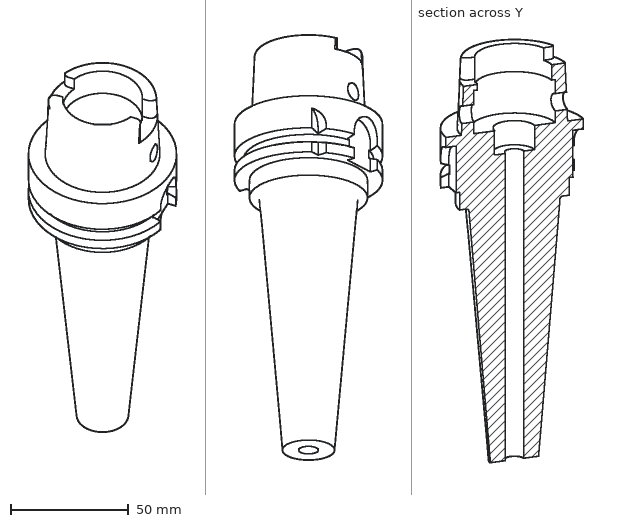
import cadquery as cq

total_height = 182.0
flange_top_z = total_height - 32.0
flange_bottom_z = total_height - 57.9
collar_bottom_z = total_height - 65.9

nose_radius = 11.1
neck_radius = 21.0
neck_fillet = 1.0
collar_radius = 25.1
flange_radius = 31.5
shank_base_radius = 24.4
shank_top_radius = 23.0
rim_fillet = 1.3

groove_radius = 27.7
groove_bottom_z = total_height - 51.7
groove_top_z = total_height - 48.2
groove_flare = 1.5

mouth_radius = 17.0
mouth_depth = 12.7
undercut_radius = 18.5
cavity_depth = 32.0
coolant_seat_radius = 9.1
coolant_seat_depth = 11.0
coolant_radius = 4.2

notch_half_width = 6.2
notch_corner_radius = 2.7
notch_shoulder_x = 21.1
shallow_notch_depth = 5.6
deep_notch_depth = 10.0

cross_hole_radius = 3.8
cross_hole_z = total_height - 23.0

slot_radius = 8.1
slot_top_z = total_height - 36.8
slot_floor_x = 26.8
index_slot_corner = 20.0

clearance = 1.8


def make_body():
    outline = (
        cq.Workplane("XZ")
        .lineTo(nose_radius, 0)
        .lineTo(neck_radius, collar_bottom_z - neck_fillet)
        .radiusArc((neck_radius + neck_fillet, collar_bottom_z), neck_fillet)
        .lineTo(collar_radius, collar_bottom_z)
        .lineTo(collar_radius, flange_bottom_z)
        .lineTo(flange_radius, flange_bottom_z)
        .lineTo(flange_radius, groove_bottom_z - groove_flare)
        .lineTo(groove_radius, groove_bottom_z)
        .lineTo(groove_radius, groove_top_z)
        .lineTo(flange_radius, groove_top_z + groove_flare)
        .lineTo(flange_radius, flange_top_z)
        .lineTo(shank_base_radius, flange_top_z)
        .lineTo(shank_top_radius, total_height)
        .lineTo(0, total_height)
        .close()
    )
    return outline.revolve(360, (0, 0), (0, 1)).faces(">Z").edges().fillet(rim_fillet)


def make_bore():
    mouth_z = total_height - mouth_depth
    cavity_floor_z = total_height - cavity_depth
    seat_z = cavity_floor_z - coolant_seat_depth
    outline = (
        cq.Workplane("XZ")
        .lineTo(coolant_radius, 0)
        .lineTo(coolant_radius, seat_z)
        .lineTo(coolant_seat_radius, seat_z)
        .lineTo(coolant_seat_radius, cavity_floor_z)
        .lineTo(undercut_radius, cavity_floor_z)
        .lineTo(undercut_radius, mouth_z)
        .lineTo(mouth_radius, mouth_z)
        .lineTo(mouth_radius, total_height)
        .lineTo(0, total_height)
        .close()
    )
    return outline.revolve(360, (0, 0), (0, 1))


def make_notch(side, depth):
    """Rim notch on the side (+1 or -1) of X, with rounded corners opening outwards."""
    arc_start_x = notch_shoulder_x - notch_corner_radius
    arc_end_y = notch_half_width + notch_corner_radius
    outer_x = shank_base_radius + clearance
    notch = (
        cq.Workplane("XY", origin=(0, 0, total_height - depth))
        .moveTo(0, -notch_half_width)
        .lineTo(arc_start_x, -notch_half_width)
        .radiusArc((notch_shoulder_x, -arc_end_y), notch_corner_radius)
        .lineTo(notch_shoulder_x, -shank_base_radius)
        .lineTo(outer_x, -shank_base_radius)
        .lineTo(outer_x, shank_base_radius)
        .lineTo(notch_shoulder_x, shank_base_radius)
        .lineTo(notch_shoulder_x, arc_end_y)
        .radiusArc((arc_start_x, notch_half_width), notch_corner_radius)
        .lineTo(0, notch_half_width)
        .close()
        .extrude(depth)
    )
    return notch if side > 0 else notch.rotate((0, 0, 0), (0, 0, 1), 180)


def make_flange_slot(side, floor_x, center_y):
    """Round-topped slot, open downwards, from a flat floor out through the flange."""
    arc_center_z = slot_top_z - slot_radius
    return (
        cq.Workplane("YZ", origin=(side * floor_x, 0, 0))
        .moveTo(center_y - slot_radius, flange_bottom_z)
        .lineTo(center_y - slot_radius, arc_center_z)
        .threePointArc((center_y, slot_top_z), (center_y + slot_radius, arc_center_z))
        .lineTo(center_y + slot_radius, flange_bottom_z)
        .close()
        .extrude(side * (flange_radius + clearance - floor_x))
    )


cross_hole = (
    cq.Workplane("YZ")
    .center(0, cross_hole_z)
    .circle(cross_hole_radius)
    .extrude(shank_base_radius + clearance, both=True)
)

result = make_body().cut(make_bore()).cut(cross_hole)
result = result.cut(make_notch(-1, shallow_notch_depth))
result = result.cut(make_notch(1, deep_notch_depth))

for slot_side in (-1, 1):
    result = result.cut(make_flange_slot(slot_side, slot_floor_x, 0))
result = result.cut(make_flange_slot(-1, index_slot_corner, index_slot_corner + slot_radius))